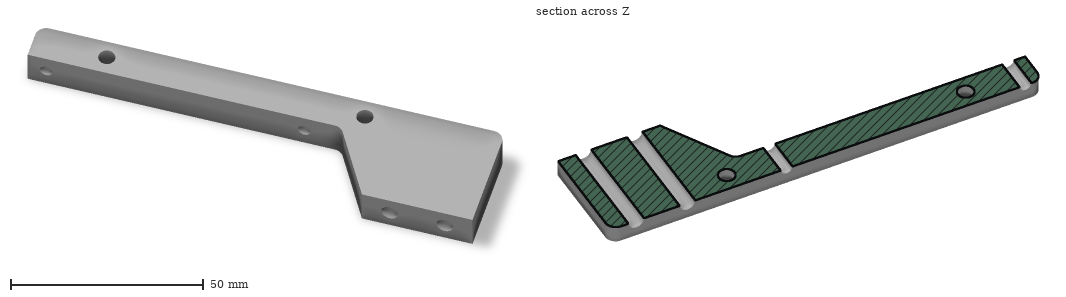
import cadquery as cq
import math

thickness = 10.0
arm_width = 10.0
arm_length = 85.0
head_depth = 30.0
head_foot_length = 30.0
flank_angle = 60.0
corner_radius = 3.0

vertical_hole_diameter = 4.5
vertical_hole_pitch = 70.0
first_vertical_hole_x = 20.0

arm_hole_diameter = 3.4
arm_hole_pitch = 70.0
first_arm_hole_x = 5.0

head_hole_diameter = 4.5
head_hole_pitch = 15.0

arm_front_y = head_depth - arm_width
arm_center_y = head_depth - arm_width / 2
foot_start_x = arm_length + arm_front_y / math.tan(math.radians(flank_angle))
total_length = foot_start_x + head_foot_length
head_center_x = foot_start_x + head_foot_length / 2

vertical_hole_xs = [first_vertical_hole_x, first_vertical_hole_x + vertical_hole_pitch]
arm_hole_xs = [first_arm_hole_x, first_arm_hole_x + arm_hole_pitch]
head_hole_xs = [head_center_x - head_hole_pitch / 2, head_center_x + head_hole_pitch / 2]


def make_body():
    """Flat plate: a slender arm widening along a sloped flank into the head."""
    body = (
        cq.Workplane("XY")
        .moveTo(0, head_depth)
        .lineTo(0, arm_front_y)
        .lineTo(arm_length, arm_front_y)
        .lineTo(foot_start_x, 0)
        .lineTo(total_length, 0)
        .lineTo(total_length, head_depth)
        .close()
        .extrude(thickness)
    )
    rounded_corners = [(0, head_depth), (total_length, head_depth), (arm_length, arm_front_y)]
    for x, y in rounded_corners:
        corner_edge = cq.selectors.NearestToPointSelector((x, y, thickness / 2))
        body = body.edges("|Z").edges(corner_edge).fillet(corner_radius)
    return body


def hole_through_thickness(x, diameter):
    """Cylinder along Z on the arm's centre line, spanning the thickness."""
    return cq.Workplane("XY").center(x, arm_center_y).circle(diameter / 2).extrude(thickness)


def hole_through_depth(x, diameter):
    """Cylinder along Y at mid thickness, spanning the full depth."""
    return cq.Workplane("XZ").center(x, thickness / 2).circle(diameter / 2).extrude(-head_depth)


result = make_body()
for hole_x in vertical_hole_xs:
    result = result.cut(hole_through_thickness(hole_x, vertical_hole_diameter))
for hole_x in arm_hole_xs:
    result = result.cut(hole_through_depth(hole_x, arm_hole_diameter))
for hole_x in head_hole_xs:
    result = result.cut(hole_through_depth(hole_x, head_hole_diameter))